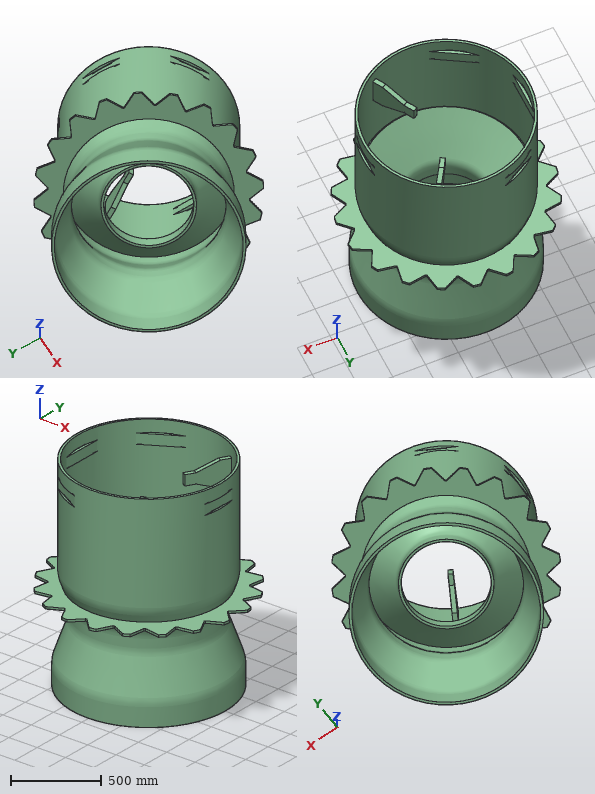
import cadquery as cq
import math

TOTAL_HEIGHT = 1400.0
BASE_DIAMETER = 1080.0
WAIST_DIAMETER = 890.0
BARREL_DIAMETER = 1012.0
BARREL_BORE_RADIUS = 980.0 / 2
SHELL_WALL = BARREL_DIAMETER / 2 - BARREL_BORE_RADIUS
SHELL_BEND_INNER_RADIUS = 140.0
SHELL_BEND_OUTER_RADIUS = SHELL_BEND_INNER_RADIUS + SHELL_WALL
BASE_CORNER_Z = 153.0
LOWER_WAIST_CORNER_Z = 417.0
UPPER_WAIST_CORNER_Z = 526.0
BARREL_CORNER_Z = 696.0

FLAT_ANGLES = (0, 120, 180, 240)
FLAT_TOP_Z = 1316.0
FLAT_HEIGHT = 70.0
FLAT_OUTER_DISTANCE = 491.0
FLAT_THICKNESS = 21.0
FLAT_INNER_DISTANCE = FLAT_OUTER_DISTANCE - FLAT_THICKNESS

TOOTH_COUNT = 20
RING_TIP_RADIUS = 1278.0 / 2
RING_ROOT_RADIUS = 560.0
NOTCH_ROOT_WIDTH = 8.0
RING_THICKNESS = 15.0
RING_CENTRE_Z = 617.0

FUNNEL_WALL = 15.0
FUNNEL_SPOUT_RADIUS = 500.0 / 2
FUNNEL_RIM_Z = 795.0
FUNNEL_SLOPE = 45
FUNNEL_SPOUT_BOTTOM_Z = 476.0
FUNNEL_BEND_RADIUS = 75.0

ARM_ANGLES = (60, 300)
ARM_THICKNESS = 30.0
ARM_CENTRE_Z = 1232.0
ARM_ROOT_HEIGHT = 174.0
ARM_TIP_HEIGHT = 70.0
ARM_TIP_RADIUS = 210.0
ARM_TAPER_INNER_RADIUS = 277.0
ARM_TAPER_OUTER_RADIUS = 423.0


def unit(start, end):
    """Direction from start to end in the (radius, height) plane."""
    length = math.dist(start, end)
    return (end[0] - start[0]) / length, (end[1] - start[1]) / length


def step(point, direction, length):
    return point[0] + direction[0] * length, point[1] + direction[1] * length


def offset_path(points, distance):
    """Path of the same segments moved sideways by distance, to the left of the direction of travel."""
    directions = [unit(a, b) for a, b in zip(points, points[1:])]
    directions = [directions[0], *directions, directions[-1]]
    moved = []
    for (r, z), (before_r, before_z), (after_r, after_z) in zip(points, directions, directions[1:]):
        scale = distance / (1 + before_r * after_r + before_z * after_z)
        moved.append((r - (before_z + after_z) * scale, z + (before_r + after_r) * scale))
    return moved


def turns_left(previous, corner, following):
    ar, az = unit(previous, corner)
    br, bz = unit(corner, following)
    return ar * bz - az * br > 0


def rounded_path(sketch, points, left_radius, right_radius):
    """Draw through the points, rounding each corner with the radius for its turning direction."""
    for previous, corner, following in zip(points, points[1:], points[2:]):
        back = unit(corner, previous)
        ahead = unit(corner, following)
        radius = left_radius if turns_left(previous, corner, following) else right_radius
        cos_corner = back[0] * ahead[0] + back[1] * ahead[1]
        half_angle = math.acos(cos_corner) / 2
        tangent = radius / math.tan(half_angle)
        middle = radius / math.sin(half_angle) - radius
        bisector = unit((0, 0), (back[0] + ahead[0], back[1] + ahead[1]))
        start = step(corner, back, tangent)
        mid = step(corner, bisector, middle)
        end = step(corner, ahead, tangent)
        sketch = sketch.lineTo(*start).threePointArc(mid, end)
    return sketch.lineTo(*points[-1])


def spin(profile):
    return profile.close().revolve(360, (0, 0, 0), (0, 1, 0))


def shell_outer_path():
    base, waist, barrel = BASE_DIAMETER / 2, WAIST_DIAMETER / 2, BARREL_DIAMETER / 2
    return [
        (base, 0),
        (base, BASE_CORNER_Z),
        (waist, LOWER_WAIST_CORNER_Z),
        (waist, UPPER_WAIST_CORNER_Z),
        (barrel, BARREL_CORNER_Z),
        (barrel, TOTAL_HEIGHT),
    ]


def solid_to_axis(path, left_radius, right_radius):
    sketch = cq.Workplane("XZ").moveTo(0, path[0][1]).lineTo(*path[0])
    sketch = rounded_path(sketch, path, left_radius, right_radius)
    return spin(sketch.lineTo(0, path[-1][1]))


def shell_envelope():
    return solid_to_axis(shell_outer_path(), SHELL_BEND_OUTER_RADIUS, SHELL_BEND_INNER_RADIUS)


def flat_block(inner_distance, outer_distance, angle):
    depth = outer_distance - inner_distance
    block = cq.Workplane("XY").box(depth, BARREL_DIAMETER / 2, FLAT_HEIGHT, centered=(False, True, False))
    block = block.translate((inner_distance, 0, FLAT_TOP_Z - FLAT_HEIGHT))
    return block.rotate((0, 0, 0), (0, 0, 1), angle)


def make_shell():
    bore_path = offset_path(shell_outer_path(), SHELL_WALL)
    bore = solid_to_axis(bore_path, SHELL_BEND_INNER_RADIUS, SHELL_BEND_OUTER_RADIUS)
    shell = shell_envelope().cut(bore)
    outside = BARREL_DIAMETER / 2 + SHELL_WALL
    barrel = cq.Workplane("XY").circle(BARREL_DIAMETER / 2).extrude(TOTAL_HEIGHT)
    for angle in FLAT_ANGLES:
        backing = flat_block(FLAT_INNER_DISTANCE, FLAT_OUTER_DISTANCE, angle).intersect(barrel)
        shell = shell.union(backing)
        shell = shell.cut(flat_block(FLAT_OUTER_DISTANCE, outside, angle))
    return shell


def make_toothed_ring():
    ring = cq.Workplane("XY").circle(RING_TIP_RADIUS).extrude(RING_THICKNESS)
    depth = RING_TIP_RADIUS - RING_ROOT_RADIUS
    root_half_width = NOTCH_ROOT_WIDTH / 2
    mouth_half_width = root_half_width + depth
    notch_points = [
        (RING_ROOT_RADIUS, -root_half_width),
        (RING_TIP_RADIUS, -mouth_half_width),
        (RING_TIP_RADIUS, mouth_half_width),
        (RING_ROOT_RADIUS, root_half_width),
    ]
    notch = cq.Workplane("XY").polyline(notch_points).close().extrude(RING_THICKNESS)
    for index in range(TOOTH_COUNT):
        ring = ring.cut(notch.rotate((0, 0, 0), (0, 0, 1), index * 360 / TOOTH_COUNT))
    ring = ring.translate((0, 0, RING_CENTRE_Z - RING_THICKNESS / 2))
    return ring.cut(shell_envelope())


def make_funnel():
    slope = math.radians(FUNNEL_SLOPE)
    rim_inner_radius = BARREL_BORE_RADIUS - FUNNEL_WALL * math.sin(slope)
    cone_drop = (rim_inner_radius - FUNNEL_SPOUT_RADIUS) * math.tan(slope)
    inner_path = [
        (FUNNEL_SPOUT_RADIUS, FUNNEL_SPOUT_BOTTOM_Z),
        (FUNNEL_SPOUT_RADIUS, FUNNEL_RIM_Z - cone_drop),
        (rim_inner_radius, FUNNEL_RIM_Z),
    ]
    outer_path = offset_path(inner_path, -FUNNEL_WALL)
    sketch = cq.Workplane("XZ").moveTo(*inner_path[0])
    sketch = rounded_path(sketch, inner_path, FUNNEL_BEND_RADIUS, FUNNEL_BEND_RADIUS)
    outer_down = outer_path[::-1]
    sketch = sketch.lineTo(*outer_down[0])
    outer_bend = FUNNEL_BEND_RADIUS - FUNNEL_WALL
    return spin(rounded_path(sketch, outer_down, outer_bend, outer_bend))


def make_arm(angle):
    root, tip = ARM_ROOT_HEIGHT / 2, ARM_TIP_HEIGHT / 2
    upper_edge = [
        (ARM_TIP_RADIUS, tip),
        (ARM_TAPER_INNER_RADIUS, tip),
        (ARM_TAPER_OUTER_RADIUS, root),
        (BARREL_BORE_RADIUS, root),
    ]
    lower_edge = [(r, -z) for r, z in reversed(upper_edge)]
    plate = cq.Workplane("XZ").polyline(upper_edge + lower_edge).close().extrude(ARM_THICKNESS / 2, both=True)
    plate = plate.translate((0, 0, ARM_CENTRE_Z))
    bore = cq.Workplane("XY").circle(BARREL_BORE_RADIUS).extrude(TOTAL_HEIGHT)
    return plate.intersect(bore).rotate((0, 0, 0), (0, 0, 1), angle)


shell = make_shell()
toothed_ring = make_toothed_ring()
funnel = make_funnel()
arms = [make_arm(angle) for angle in ARM_ANGLES]

result = cq.Compound.makeCompound(
    [shell.val(), toothed_ring.val(), funnel.val(), *[arm.val() for arm in arms]]
)